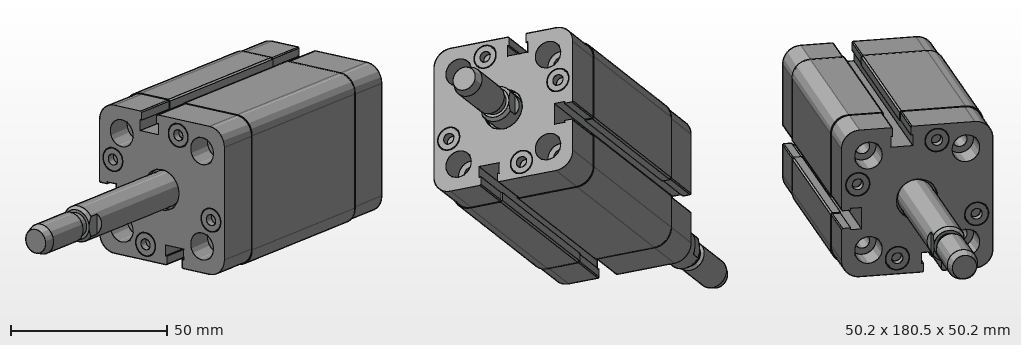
import cadquery as cq


total_length = 180.5
front_cap_face = -22.4
back_cap_face = 62.3
cap_length = 14.6
front_joint = front_cap_face + cap_length
back_joint = back_cap_face - cap_length
rod_tip = total_length / 2

tube_side = 50.2
cap_side = 49.6
corner_radius = 6.0

slot_offset = 5.0
slot_width = 7.2
slot_depth = 6.9
lip_thickness = 3.2
cap_throat = 6.0
tube_throat = 5.2
tube_mouth_chamfer = 0.5
cap_mouth_chamfer = 0.4
slot_angles = (0, -90, 180)

mount_spacing = 32.0
mount_diameter = 4.9
mount_bore_diameter = 9.0
mount_bore_depth = 9.0
half_spacing = mount_spacing / 2
mount_points = [(x, z) for x in (-half_spacing, half_spacing) for z in (-half_spacing, half_spacing)]

screw_along = 6.5
screw_out = 19.5
screw_points = [
    (screw_along, screw_out),
    (-screw_out, screw_along),
    (-screw_along, -screw_out),
    (screw_out, -screw_along),
]
screw_bore_diameter = 8.0
screw_head_diameter = 7.5
screw_gap_depth = 1.8
socket_diameter = 3.6
socket_depth = 2.7

shoulder_chamfer = 1.03
rod_recess_diameter = 13.5
rod_recess_depth = 1.8
thread_diameter = 10.0
thread_end_length = 18.8
thread_tip_diameter = 8.0
thread_tip_chamfer = 2.9
neck_diameter = 8.0
neck_slope = 0.7
shoulder_distance = 22.0
rod_diameter = thread_diameter + 2 * shoulder_chamfer
flat_across = 10.0
flat_length = 4.3


def section_plane(y):
    """Plane across the part at y, with local x = X, local y = Z and the normal along -Y."""
    return cq.Workplane("XZ", origin=(0, y, 0))


def slot_cutter(y_front, y_back, side, throat, mouth_chamfer):
    """T-shaped slot entering a block from its top side, with a chamfered mouth."""
    mouth = side / 2
    lip = tube_side / 2 - lip_thickness
    floor = tube_side / 2 - slot_depth
    half = throat / 2
    half_cavity = slot_width / 2
    half_outline = [
        (half_cavity, floor),
        (half_cavity, lip),
        (half, lip),
        (half, mouth - mouth_chamfer),
        (half + mouth_chamfer, mouth),
    ]
    mirrored = [(-x, z) for x, z in reversed(half_outline)]
    plane = section_plane(y_back).center(-slot_offset, 0)
    return plane.polyline(half_outline + mirrored).close().extrude(y_back - y_front)


def slotted_block(y_front, y_back, side, throat, mouth_chamfer):
    """Square block with rounded long edges and the three sensor slots."""
    block = section_plane(y_back).rect(side, side).extrude(y_back - y_front)
    block = block.edges("|Y").fillet(corner_radius)
    cutter = slot_cutter(y_front, y_back, side, throat, mouth_chamfer)
    for angle in slot_angles:
        block = block.cut(cutter.rotate((0, 0, 0), (0, 1, 0), angle))
    return block


def cap_face_cuts(y_face, inward):
    """Recesses in one cap face; inward is +1 or -1, the Y direction into the cap."""

    def recess(points, diameter, depth):
        return section_plane(y_face).pushPoints(points).circle(diameter / 2).extrude(-inward * depth)

    screw_gaps = recess(screw_points, screw_bore_diameter, screw_gap_depth)
    screw_gaps = screw_gaps.cut(recess(screw_points, screw_head_diameter, screw_gap_depth))
    return (
        screw_gaps.union(recess(screw_points, socket_diameter, socket_depth))
        .union(recess(mount_points, mount_bore_diameter, mount_bore_depth))
        .union(recess([(0, 0)], rod_recess_diameter, rod_recess_depth))
    )


def flat_cutter():
    """Cuts the wrench flats on both sides of the front rod end; their inner ends slope at 45 degrees."""
    shoulder = -rod_tip + shoulder_distance
    inner = flat_across / 2
    outer = rod_diameter / 2
    flat_end = shoulder + flat_length
    cutter = (
        cq.Workplane("XY", origin=(0, 0, -outer))
        .moveTo(-inner, shoulder)
        .lineTo(-inner, flat_end)
        .lineTo(-outer, flat_end + outer - inner)
        .lineTo(-outer, shoulder)
        .close()
        .extrude(2 * outer)
    )
    return cutter.union(cutter.mirror("YZ"))


def piston_rod():
    """Through rod turned about Y, threaded and relieved at both ends."""
    shoulder = rod_tip - shoulder_distance
    thread_start = rod_tip - thread_end_length
    half_profile = [
        (rod_diameter / 2, shoulder - shoulder_chamfer),
        (thread_diameter / 2, shoulder),
        (neck_diameter / 2, shoulder),
        (neck_diameter / 2, thread_start - neck_slope),
        (thread_diameter / 2, thread_start),
        (thread_diameter / 2, rod_tip - thread_tip_chamfer),
        (thread_tip_diameter / 2, rod_tip),
        (0, rod_tip),
    ]
    other_half = [(radius, -y) for radius, y in reversed(half_profile)]
    rod = cq.Workplane("XY").polyline(other_half + half_profile).close()
    rod = rod.revolve(360, (0, 0, 0), (0, 1, 0))
    front_flats = flat_cutter()
    return rod.cut(front_flats).cut(front_flats.mirror("XZ"))


body = (
    slotted_block(front_joint, back_joint, tube_side, tube_throat, tube_mouth_chamfer)
    .union(slotted_block(front_cap_face, front_joint, cap_side, cap_throat, cap_mouth_chamfer))
    .union(slotted_block(back_joint, back_cap_face, cap_side, cap_throat, cap_mouth_chamfer))
)
mount_holes = (
    section_plane(back_cap_face)
    .pushPoints(mount_points)
    .circle(mount_diameter / 2)
    .extrude(back_cap_face - front_cap_face)
)
body = body.cut(mount_holes)
body = body.cut(cap_face_cuts(front_cap_face, 1)).cut(cap_face_cuts(back_cap_face, -1))

result = body.union(piston_rod())